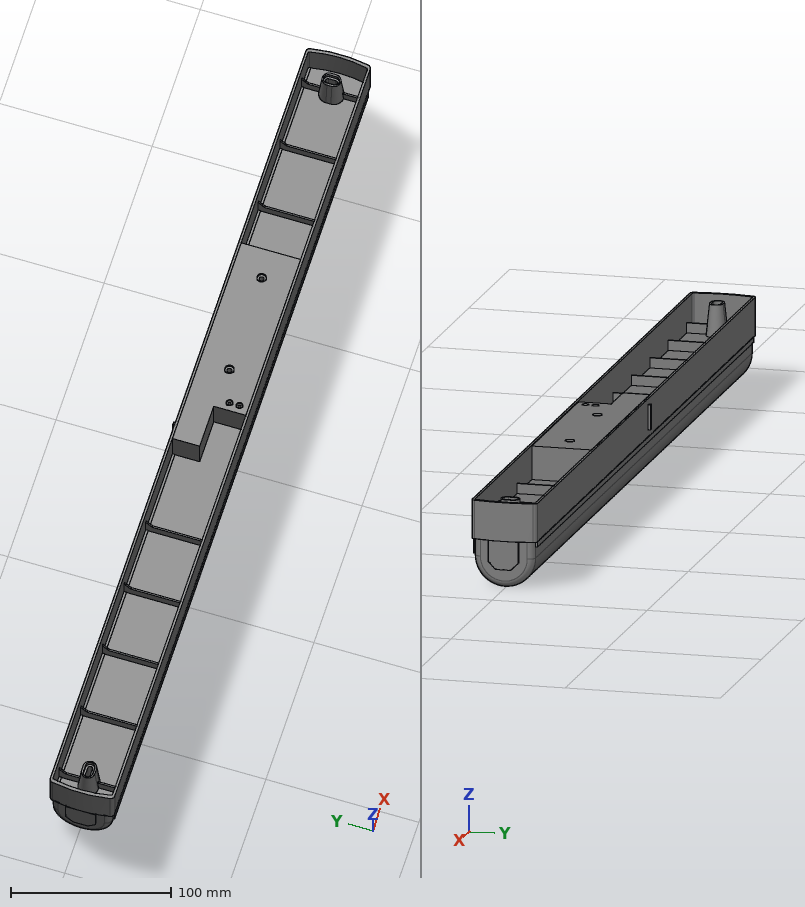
import cadquery as cq
import math

LENGTH = 540.0
HEIGHT = 55.0
TOP_Z = HEIGHT / 2
BOTTOM_Z = -HEIGHT / 2

HOUSING_WIDTH = 42.0
HOUSING_BOTTOM_Z = 2.5
END_BOW = 2.0
CORNER_RADIUS = 2.5
WALL = 1.5
END_WALL = 2.0
FLOOR_Z = 5.5
LEDGE_WIDTH = 1.5
LEDGE_HEIGHT = 0.5

SKIRT_LENGTH = 528.0
SKIRT_INSET = 0.5
FRONT_SKIRT_BOTTOM_Z = -7.5
REAR_SKIRT_BOTTOM_Z = -1.0
SKIRT_THICKNESS = 3.0

COVER_WIDTH = 39.0
COVER_RADIUS = COVER_WIDTH / 2
COVER_AXIS_Z = BOTTOM_Z + COVER_RADIUS
COVER_LENGTH = 537.0
COVER_END_FILLET = 4.5

PANEL_HALF_WIDTH = 9.5
PANEL_BOTTOM_Z = -15.5
PANEL_CHAMFER = 5.0

FIRST_RIB_X = 72.0
LAST_RIB_X = 252.0
RIBS_PER_SIDE = 5
RIB_PITCH = (LAST_RIB_X - FIRST_RIB_X) / (RIBS_PER_SIDE - 1)
RIB_THICKNESS = 1.0
RIB_HEIGHT = 6.5
RIB_REAR_HEIGHT = 11.0
RIB_SLOPE_WIDTH = 4.5

POST_X = LAST_RIB_X
POST_LENGTH = 16.0
POST_WIDTH = 13.0
POST_TOP_Z = 26.0
POST_DRAFT_INSET = 2.0
POST_RECESS_LENGTH = 10.0
POST_RECESS_WIDTH = 6.0
POST_RECESS_DEPTH = 2.5
POST_SLOT_LENGTH = 7.5
POST_SLOT_WIDTH = 3.0

BLOCK_TOP_Z = 27.0
BLOCK_LEFT_X = -17.0
BLOCK_STEP_X = 12.5
BLOCK_RIGHT_X = 126.5
BLOCK_STEP_Y = 1.5
SCREW_XS = (40.0, 107.0)
SCREW_HEAD_DIAMETER = 6.0
SCREW_HEAD_DEPTH = 1.5
SCREW_HOLE_DIAMETER = 3.0
SCREW_HOLE_DEPTH = 11.0
TERMINAL_X = 18.0
TERMINAL_YS = (-7.0, -13.5)
TERMINAL_DIAMETER = 4.2
TERMINAL_DEPTH = 1.5
TERMINAL_HOLE_DIAMETER = 2.0
TERMINAL_HOLE_DEPTH = 5.5

KEY_X = -5.0
KEY_WIDTH = 2.0
KEY_PROJECTION = 1.5
KEY_BOTTOM_Z = 7.5
KEY_TOP_Z = 24.0


def box(x_min, x_max, y_min, y_max, z_min, z_max):
    size = (x_max - x_min, y_max - y_min, z_max - z_min)
    return cq.Workplane("XY").box(*size, centered=False).translate((x_min, y_min, z_min))


def bowed_prism(length, width, z_min, z_max):
    """Upright prism whose two ends bulge outward by END_BOW."""
    tip_x = length / 2
    corner_x = tip_x - END_BOW
    side_y = width / 2
    outline = (
        cq.Workplane("XY", origin=(0, 0, z_min))
        .moveTo(-corner_x, -side_y)
        .lineTo(corner_x, -side_y)
        .threePointArc((tip_x, 0), (corner_x, side_y))
        .lineTo(-corner_x, side_y)
        .threePointArc((-tip_x, 0), (-corner_x, -side_y))
        .close()
    )
    return outline.extrude(z_max - z_min)


def make_housing():
    """Hollow trough with a low ledge along the foot of its rear wall."""
    inner_half_width = HOUSING_WIDTH / 2 - WALL
    shell = bowed_prism(LENGTH, HOUSING_WIDTH, HOUSING_BOTTOM_Z, TOP_Z).edges("|Z").fillet(CORNER_RADIUS)
    cavity = bowed_prism(LENGTH - 2 * END_WALL, 2 * inner_half_width, FLOOR_Z, TOP_Z)
    cavity = cavity.edges("|Z").fillet(CORNER_RADIUS - WALL)
    ledge_y = inner_half_width - LEDGE_WIDTH
    rear_ledge = box(-LENGTH / 2, LENGTH / 2, ledge_y, inner_half_width, FLOOR_Z, FLOOR_Z + LEDGE_HEIGHT)
    return shell.cut(cavity.cut(rear_ledge))


def make_skirts():
    outer_y = HOUSING_WIDTH / 2 - SKIRT_INSET
    inner_y = outer_y - SKIRT_THICKNESS
    end_x = SKIRT_LENGTH / 2
    front = box(-end_x, end_x, -outer_y, -inner_y, FRONT_SKIRT_BOTTOM_Z, HOUSING_BOTTOM_Z)
    rear = box(-end_x, end_x, inner_y, outer_y, REAR_SKIRT_BOTTOM_Z, HOUSING_BOTTOM_Z)
    return front.union(rear)


def make_cover():
    profile = (
        cq.Workplane("YZ", origin=(-COVER_LENGTH / 2, 0, 0))
        .moveTo(-COVER_RADIUS, HOUSING_BOTTOM_Z)
        .lineTo(-COVER_RADIUS, COVER_AXIS_Z)
        .threePointArc((0, BOTTOM_Z), (COVER_RADIUS, COVER_AXIS_Z))
        .lineTo(COVER_RADIUS, HOUSING_BOTTOM_Z)
        .close()
    )
    cover = profile.extrude(COVER_LENGTH)
    cover = cover.faces("<X or >X").edges("not >Z").fillet(COVER_END_FILLET)
    return cover.union(make_end_panels())


def make_end_panels():
    chamfer_z = PANEL_BOTTOM_Z + PANEL_CHAMFER
    bottom_y = PANEL_HALF_WIDTH - PANEL_CHAMFER
    return (
        cq.Workplane("YZ", origin=(-LENGTH / 2, 0, 0))
        .polyline([
            (-PANEL_HALF_WIDTH, HOUSING_BOTTOM_Z),
            (-PANEL_HALF_WIDTH, chamfer_z),
            (-bottom_y, PANEL_BOTTOM_Z),
            (bottom_y, PANEL_BOTTOM_Z),
            (PANEL_HALF_WIDTH, chamfer_z),
            (PANEL_HALF_WIDTH, HOUSING_BOTTOM_Z),
        ])
        .close()
        .extrude(LENGTH)
    )


def make_rib(x):
    """Low cross rib that slopes up to meet the rear wall."""
    front_y = WALL - HOUSING_WIDTH / 2
    rear_y = HOUSING_WIDTH / 2 - WALL
    return (
        cq.Workplane("YZ", origin=(x - RIB_THICKNESS / 2, 0, 0))
        .moveTo(front_y, FLOOR_Z)
        .lineTo(rear_y, FLOOR_Z)
        .lineTo(rear_y, FLOOR_Z + RIB_REAR_HEIGHT)
        .lineTo(rear_y - RIB_SLOPE_WIDTH, FLOOR_Z + RIB_HEIGHT)
        .lineTo(front_y, FLOOR_Z + RIB_HEIGHT)
        .close()
        .extrude(RIB_THICKNESS)
    )


def slot_prism(x, length, width, angle, z_min, z_max):
    return cq.Workplane("XY", origin=(x, 0, z_min)).slot2D(length, width, angle).extrude(z_max - z_min)


def make_post(x, angle):
    """Tapered post, and the stepped slot that opens through it."""
    height = POST_TOP_Z - FLOOR_Z
    draft_angle = math.degrees(math.atan(POST_DRAFT_INSET / height))
    base = cq.Workplane("XY", origin=(x, 0, FLOOR_Z)).slot2D(POST_LENGTH, POST_WIDTH, angle)
    post = base.extrude(height, taper=draft_angle)
    recess_z = POST_TOP_Z - POST_RECESS_DEPTH
    recess = slot_prism(x, POST_RECESS_LENGTH, POST_RECESS_WIDTH, angle, recess_z, POST_TOP_Z)
    slot = slot_prism(x, POST_SLOT_LENGTH, POST_SLOT_WIDTH, angle, FLOOR_Z, POST_TOP_Z)
    return post, recess.union(slot)


def drill(x, y, diameter, depth):
    return cq.Workplane("XY", origin=(x, y, BLOCK_TOP_Z - depth)).circle(diameter / 2).extrude(depth)


def make_block():
    half_width = HOUSING_WIDTH / 2 - WALL
    block = box(BLOCK_LEFT_X, BLOCK_RIGHT_X, -half_width, half_width, FLOOR_Z, BLOCK_TOP_Z)
    block = block.cut(box(BLOCK_LEFT_X, BLOCK_STEP_X, -half_width, BLOCK_STEP_Y, FLOOR_Z, BLOCK_TOP_Z))
    for x in SCREW_XS:
        block = block.cut(drill(x, 0, SCREW_HEAD_DIAMETER, SCREW_HEAD_DEPTH))
        block = block.cut(drill(x, 0, SCREW_HOLE_DIAMETER, SCREW_HOLE_DEPTH))
    for y in TERMINAL_YS:
        block = block.cut(drill(TERMINAL_X, y, TERMINAL_DIAMETER, TERMINAL_DEPTH))
        block = block.cut(drill(TERMINAL_X, y, TERMINAL_HOLE_DIAMETER, TERMINAL_HOLE_DEPTH))
    return block


def make_key():
    rear_y = HOUSING_WIDTH / 2
    left_x = KEY_X - KEY_WIDTH / 2
    return box(left_x, left_x + KEY_WIDTH, rear_y - WALL, rear_y + KEY_PROJECTION, KEY_BOTTOM_Z, KEY_TOP_Z)


result = make_housing().union(make_skirts()).union(make_cover()).union(make_key())
for rib_index in range(RIBS_PER_SIDE):
    rib_x = FIRST_RIB_X + rib_index * RIB_PITCH
    result = result.union(make_rib(-rib_x)).union(make_rib(rib_x))
for post_x, slot_angle in ((-POST_X, 0), (POST_X, 90)):
    post_body, post_opening = make_post(post_x, slot_angle)
    result = result.union(post_body).cut(post_opening)
result = result.union(make_block())